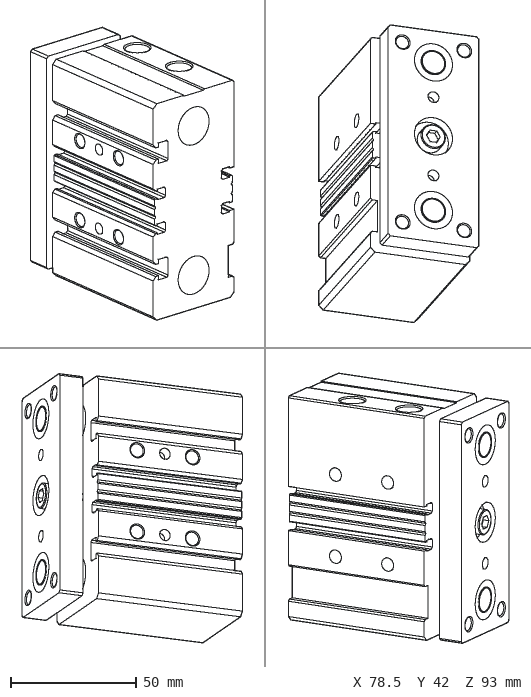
import cadquery as cq
import math


total_length = 78.5
plate_thickness = 10.0
body_length = 62.5
body_start = total_length - body_length

body_width = 42.0
body_height = 93.0
half_width = body_width / 2
half_height = body_height / 2
body_chamfer = 1.9
rear_top_chamfer = 0.7

recess_half_width = 5.0
recess_slope_width = 0.7
recess_depth = 0.42

t_slot_spacing = 50.0
t_neck_half_width = 2.6
t_mouth_half_width = 4.2
t_mouth_depth = 1.3
t_lip_depth = 2.8
t_head_half_width = 4.4
t_slot_depth = 7.8
t_back_chamfer = 0.7

ridge_half_width = 5.8
ridge_inset = 0.7
ridge_edge_chamfer = 0.4
band_half_width = 9.1
band_chamfer = 1.2
sensor_slot_offset = (ridge_half_width + band_half_width) / 2
sensor_neck_half_width = (band_half_width - ridge_half_width) / 2
sensor_lip_depth = 2.2
sensor_head_half_width = 2.2
sensor_slot_depth = 6.5
sensor_back_chamfer = 0.7
v_groove_offset = 2.0
v_groove_half_width = 0.7
v_groove_depth = 0.6

rear_slot_center = -30.8
rear_slot_width = 13.6
rear_slot_depth = 3.0
rear_slot_chamfer = 0.7

cross_hole_spacing_z = 33.9
mount_hole_center_x = body_start + 28.8
mount_hole_spacing_x = 24.0
mount_hole_diameter = 5.5
mount_hole_chamfer = 0.42
pin_hole_diameter = 4.6
pin_hole_depth = 5.6

port_y = 13.6
port_spacing = 26.0
port_front_x = body_start + 11.25
port_rear_x = port_front_x + port_spacing
port_diameter = 9.9
port_chamfer = 0.6
port_depth = 9.3
passage_diameter = 3.7
passage_depth = 5.6
cross_passage_length = port_diameter
drill_point_angle = 118.0

plate_width = 38.3
plate_height = 91.5
plate_chamfer = 0.9
plate_hole_spacing_y = 26.0
plate_hole_spacing_z = 78.0
plate_hole_diameter = 5.3
plate_hole_chamfer = 0.5
plate_bore_depth = 5.0

guide_spacing = 64.1
guide_diameter = 16.1
piston_rod_diameter = 10.2
piston_rod_chamfer = 0.4
piston_rod_length = 46.5
guide_ring_diameter = piston_rod_diameter
guide_ring_depth = piston_rod_chamfer
hex_across_flats = 4.9
hex_depth = 2.5

lug_bottom = -6.1
lug_length = 1.1
lug_width = 2.2


def x_cylinder(diameter, start, end, y=0.0, z=0.0):
    """Solid cylinder along X between two X positions."""
    return cq.Workplane("YZ", origin=(start, y, z)).circle(diameter / 2).extrude(end - start)


def body_prism(points):
    """Prism along the full housing length from (Y, Z) section points."""
    return cq.Workplane("YZ", origin=(body_start, 0, 0)).polyline(points).close().extrude(body_length)


def side_prism(side, points):
    """Housing prism from (depth below a Y face, Z) points; side is -1 or +1."""
    return body_prism([(side * (half_width - depth), z) for depth, z in points])


def drilled_hole(diameter, depth, chamfer=0.0, tip_diameter=0.0):
    """Hole along -Z from the origin, with an entry chamfer and a drill point cut off at tip_diameter."""
    radius = diameter / 2
    tip_radius = tip_diameter / 2
    point_height = (radius - tip_radius) / math.tan(math.radians(drill_point_angle / 2))
    points = [(0, 0), (radius + chamfer, 0)]
    if chamfer > 0:
        points.append((radius, -chamfer))
    points.append((radius, -depth))
    if tip_radius > 0:
        points.append((tip_radius, -depth - point_height))
    points.append((0, -depth - point_height))
    return cq.Workplane("XZ").polyline(points).close().revolve(360, (0, 0, 0), (0, 1, 0))


def aim_at_y(hole):
    """Turn a hole drilled along -Z so that it is drilled along +Y."""
    return hole.rotate((0, 0, 0), (1, 0, 0), 90)


def aim_at_x(hole):
    """Turn a hole drilled along -Z so that it is drilled along +X."""
    return hole.rotate((0, 0, 0), (0, 1, 0), -90)


def housing_blank():
    return body_prism([
        (-half_width, -half_height + body_chamfer),
        (-half_width + body_chamfer, -half_height),
        (half_width - body_chamfer, -half_height),
        (half_width, -half_height + body_chamfer),
        (half_width, half_height - rear_top_chamfer),
        (half_width - rear_top_chamfer, half_height),
        (-half_width + body_chamfer, half_height),
        (-half_width, half_height - body_chamfer),
    ])


def top_recess():
    """Shallow recess along the top with one sloped wall."""
    floor = half_height - recess_depth
    return body_prism([
        (-recess_half_width, half_height),
        (-recess_half_width, floor),
        (recess_half_width, floor),
        (recess_half_width + recess_slope_width, half_height),
    ])


def undercut_slot(side, center, neck_half_width, head_half_width, lip_depth, depth, back_chamfer):
    """Straight T-shaped slot below a Y face, with its two back corners chamfered."""
    lower_half = [
        (0, neck_half_width),
        (lip_depth, neck_half_width),
        (lip_depth, head_half_width),
        (depth - back_chamfer, head_half_width),
        (depth, head_half_width - back_chamfer),
    ]
    lower = [(level, center - offset) for level, offset in lower_half]
    upper = [(level, center + offset) for level, offset in reversed(lower_half)]
    return side_prism(side, lower + upper)


def t_slot(center):
    """T-slot in the -Y face with a chamfered mouth."""
    slot = undercut_slot(
        -1, center, t_neck_half_width, t_head_half_width, t_lip_depth, t_slot_depth, t_back_chamfer
    )
    mouth = side_prism(-1, [
        (0, center - t_mouth_half_width),
        (t_mouth_depth, center - t_neck_half_width),
        (t_mouth_depth, center + t_neck_half_width),
        (0, center + t_mouth_half_width),
    ])
    return slot.union(mouth)


def sensor_band(side):
    """Lowered ridge with chamfered edges and two V-grooves, between two sensor slots."""
    mouth_chamfer = band_chamfer if side < 0 else 0.0
    ridge_top_half_width = ridge_half_width - ridge_edge_chamfer
    cutter = side_prism(side, [
        (0, -band_half_width),
        (ridge_inset, -band_half_width),
        (ridge_inset, band_half_width),
        (0, band_half_width),
    ])
    for end in (-1, 1):
        cutter = cutter.union(undercut_slot(
            side, end * sensor_slot_offset, sensor_neck_half_width, sensor_head_half_width,
            sensor_lip_depth, sensor_slot_depth, sensor_back_chamfer,
        ))
        ridge_edge = side_prism(side, [
            (ridge_inset, end * ridge_top_half_width),
            (ridge_inset + ridge_edge_chamfer, end * ridge_half_width),
            (ridge_inset, end * ridge_half_width),
        ])
        groove_z = end * v_groove_offset
        v_groove = side_prism(side, [
            (ridge_inset, groove_z - v_groove_half_width),
            (ridge_inset + v_groove_depth, groove_z),
            (ridge_inset, groove_z + v_groove_half_width),
        ])
        cutter = cutter.union(ridge_edge).union(v_groove)
        if mouth_chamfer > 0:
            cutter = cutter.union(side_prism(side, [
                (0, end * (band_half_width + mouth_chamfer)),
                (mouth_chamfer, end * band_half_width),
                (0, end * band_half_width),
            ]))
    return cutter


def rear_slot():
    """Wide slot along the +Y face with chamfered edges."""
    inner = rear_slot_width / 2
    outer = inner + rear_slot_chamfer
    return side_prism(1, [
        (0, rear_slot_center - outer),
        (rear_slot_chamfer, rear_slot_center - inner),
        (rear_slot_depth, rear_slot_center - inner),
        (rear_slot_depth, rear_slot_center + inner),
        (rear_slot_chamfer, rear_slot_center + inner),
        (0, rear_slot_center + outer),
    ])


def cut_cross_holes(body):
    """Two rows of mounting holes right through in Y, each with a blind pin hole between them."""
    mount_hole = aim_at_y(drilled_hole(mount_hole_diameter, body_width, mount_hole_chamfer))
    pin_hole = aim_at_y(drilled_hole(pin_hole_diameter, pin_hole_depth))
    for row in (-1, 1):
        z = row * cross_hole_spacing_z / 2
        body = body.cut(pin_hole.translate((mount_hole_center_x, -half_width, z)))
        for end in (-1, 1):
            x = mount_hole_center_x + end * mount_hole_spacing_x / 2
            body = body.cut(mount_hole.translate((x, -half_width, z)))
    return body


def cut_ports(body):
    """Two chamfered ports with narrow passages; the rear passage meets a short one along X."""
    port = drilled_hole(port_diameter, port_depth, port_chamfer, passage_diameter)
    passage_bottom = port_depth + passage_depth
    passage = cq.Workplane("XY").circle(passage_diameter / 2).extrude(-passage_bottom)
    for x in (port_front_x, port_rear_x):
        place = (x, port_y, half_height)
        body = body.cut(port.translate(place)).cut(passage.translate(place))
    cross_passage = x_cylinder(
        passage_diameter,
        port_rear_x - cross_passage_length / 2,
        port_rear_x + cross_passage_length / 2,
        port_y,
        half_height - passage_bottom,
    )
    return body.cut(cross_passage)


def guide_places():
    return [end * guide_spacing / 2 for end in (-1, 1)]


def make_housing():
    body = housing_blank().cut(top_recess()).cut(rear_slot())
    for end in (-1, 1):
        body = body.cut(t_slot(end * t_slot_spacing / 2))
        body = body.cut(sensor_band(end))
    body = cut_cross_holes(body)
    body = cut_ports(body)
    lug = cq.Workplane("XY", origin=(body_start - lug_length, 0, lug_bottom)).box(
        lug_length, lug_width, -lug_bottom, centered=(False, True, False)
    )
    body = body.union(lug)
    for z in guide_places():
        body = body.cut(x_cylinder(guide_diameter, body_start, total_length, z=z))
    return body.cut(x_cylinder(piston_rod_diameter, 0, piston_rod_length))


def make_plate():
    plate = (
        cq.Workplane("YZ")
        .rect(plate_width, plate_height)
        .extrude(plate_thickness)
        .edges("|X")
        .chamfer(plate_chamfer)
    )
    corner_hole = aim_at_x(drilled_hole(plate_hole_diameter, plate_thickness, plate_hole_chamfer))
    pin_hole = aim_at_x(drilled_hole(pin_hole_diameter, pin_hole_depth))
    for row in (-1, 1):
        plate = plate.cut(pin_hole.translate((0, 0, row * cross_hole_spacing_z / 2)))
        for column in (-1, 1):
            place = (0, column * plate_hole_spacing_y / 2, row * plate_hole_spacing_z / 2)
            plate = plate.cut(corner_hole.translate(place))
    for z in guide_places():
        plate = plate.cut(x_cylinder(guide_diameter, 0, plate_thickness, z=z))
    plate = plate.cut(x_cylinder(piston_rod_diameter, 0, plate_thickness))
    return plate.cut(x_cylinder(guide_diameter, 0, plate_bore_depth))


def make_guide_rod(z):
    """Guide rod from the plate front to the housing rear, with a ring groove in its front end."""
    ring_radius = guide_ring_diameter / 2
    ring_groove = (
        cq.Workplane("XY")
        .polyline([(0, ring_radius), (guide_ring_depth, ring_radius), (0, ring_radius - guide_ring_depth)])
        .close()
        .revolve(360, (0, 0, 0), (1, 0, 0))
    )
    rod = x_cylinder(guide_diameter, 0, total_length)
    return rod.cut(ring_groove).translate((0, 0, z))


def make_piston_rod():
    """Piston rod with a chamfered front end and a hexagon socket."""
    rod = x_cylinder(piston_rod_diameter, 0, piston_rod_length).faces("<X").chamfer(piston_rod_chamfer)
    across_corners = hex_across_flats / math.cos(math.pi / 6)
    socket = cq.Workplane("YZ").polygon(6, across_corners).extrude(hex_depth)
    return rod.cut(socket)


housing = make_housing()
plate = make_plate()
guide_rods = [make_guide_rod(z) for z in guide_places()]
piston_rod = make_piston_rod()

result = cq.Compound.makeCompound(
    [housing.val(), plate.val(), piston_rod.val(), *[rod.val() for rod in guide_rods]]
)